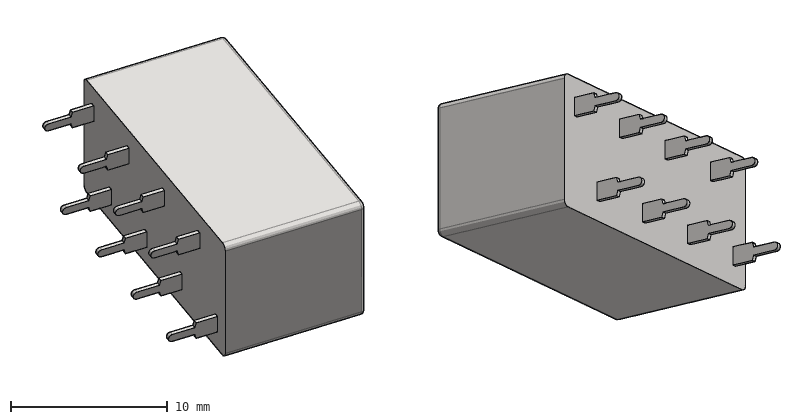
import cadquery as cq

housing_width = 20.0
housing_depth = 10.0
housing_height = 9.0
corner_radius = 0.4
back_edge_radius = 0.25

pin_count = 8
pin_pitch = 2.5
row_spacing = 5.0
pin_thickness = 0.3
pin_length = 3.5
shoulder_length = 1.52
taper_end = 1.62
shoulder_height = 1.25
blade_height = 0.55


def make_housing():
    """Box with its front face on the XZ plane, extending toward +Y."""
    box = cq.Workplane("XY").box(housing_width, housing_depth, housing_height)
    box = box.translate((0, housing_depth / 2, 0))
    box = box.edges("|Y").fillet(corner_radius)
    return box.faces(">Y").edges().fillet(back_edge_radius)


def make_pin(x, z):
    """Wide shoulder tapering to a narrow blade with a fully rounded tip."""
    shoulder_half = shoulder_height / 2
    blade_half = blade_height / 2
    tip_start = pin_length - blade_half
    pin = (
        cq.Workplane("YZ")
        .moveTo(0, shoulder_half)
        .lineTo(-shoulder_length, shoulder_half)
        .lineTo(-taper_end, blade_half)
        .lineTo(-tip_start, blade_half)
        .threePointArc((-pin_length, 0), (-tip_start, -blade_half))
        .lineTo(-taper_end, -blade_half)
        .lineTo(-shoulder_length, -shoulder_half)
        .lineTo(0, -shoulder_half)
        .close()
        .extrude(pin_thickness / 2, both=True)
    )
    return pin.translate((x, 0, z))


result = make_housing()
for index in range(pin_count):
    pin_x = (index - (pin_count - 1) / 2) * pin_pitch
    pin_z = row_spacing / 2 if index % 2 == 0 else -row_spacing / 2
    result = result.union(make_pin(pin_x, pin_z))